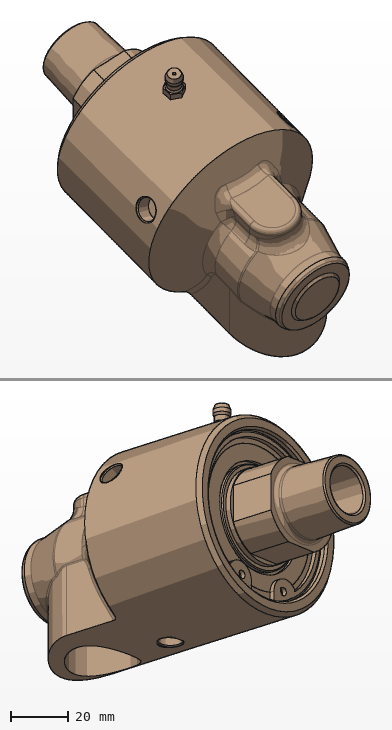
import cadquery as cq

BODY_DIAMETER = 73.0
BODY_RADIUS = BODY_DIAMETER / 2
BODY_START = 37.0
BODY_END = 90.3
BODY_CHAMFER_LENGTH = 1.7
BODY_CHAMFER_HEIGHT = 1.5
NECK_RADIUS = 19.6
NECK_START = 103.7
NECK_END = 119.4
NECK_FILLET = 5.5
TAIL_FILLET = 2.8
TAIL_RADIUS = 16.1
TAIL_START = 133.0
TAIL_ROUND_START = 136.1
TAIL_EDGE = 137.5
TAIL_EDGE_RADIUS = 15.6
TAIL_END = 138.2
TAIL_FACE_RADIUS = 15.0
PLUG_RADIUS = 10.7
PLUG_TIP_RADIUS = 9.7
OVERALL_LENGTH = 139.2

PORT_X = 113.9
LUG_RADIUS = 19.0
LUG_FILLET = 2.1
LUG_START = 83.5
LUG_BOTTOM_Z = -41.8
BOSS_START = 93.0
PORT_DIAMETER = 26.7
PORT_BOTTOM_Z = -11.1
BOSS_RADIUS = 10.2
BOSS_TOP_Z = 25.3
BOSS_EDGE_FILLET = 2.1
BOSS_BASE_FILLET = 6.0

RADIAL_HOLE_X = 82.4
RADIAL_HOLE_DIAMETER = 8.6
RADIAL_HOLE_CHAMFER = 0.4
RADIAL_HOLE_DEPTH = 6.1
RADIAL_HOLE_ANGLES = (30, 150, 270)

MOUTH_DIAMETER = 62.1
MOUTH_CHAMFER = 0.8
RING_DEPTH = 2.5
RING_THICKNESS = 1.8
GROOVE_DIAMETER = 67.0
RING_OUTER_RADIUS = 30.5
RING_INNER_RADIUS = 28.8
EAR_RADIUS = 6.1
EAR_Y = 12.1
EAR_Z = -26.2
EAR_HOLE_DIAMETER = 3.0
EAR_HOLE_Y = 11.0
EAR_HOLE_Z = -24.9
SEAT_DIAMETER = 53.7
SEAT_DEPTH = 0.1
GAP_DIAMETER = 41.2
GAP_DEPTH = 1.4

FITTING_X = 58.5
FITTING_HEX_DIAMETER = 8.1
FITTING_HEX_TURN = 3
FITTING_HEX_TOP = 39.3
FITTING_FLARE_RADIUS = 3.2
FITTING_FLARE_TOP = 40.1
FITTING_NECK_RADIUS = 5.4 / 2
FITTING_NECK_TOP = 42.2
FITTING_HEAD_RADIUS = 3.2
FITTING_HEAD_LOW = 43.1
FITTING_HEAD_HIGH = 44.7
FITTING_TOP_RADIUS = 2.5
FITTING_TOP = 46.5
FITTING_HOLE_DIAMETER = 1.1
FITTING_HOLE_DEPTH = 1.4

ROTOR_BORE_DIAMETER = 17.5
ROTOR_BORE_CHAMFER = 0.7
TIP_RADIUS = 12.7
TIP_CHAMFER = 0.5
TAPER_END = 19.2
TAPER_END_RADIUS = 26.7 / 2
SHANK_START = 21.7
SHANK_FILLET = 1.4
SHANK_RADIUS = 34.8 / 2
FLAT_WIDTH = 32.0
FLAT_END = 39.1
STEP_RADIUS = 17.7
COLLAR_START = 41.2
COLLAR_RADIUS = 19.5
COLLAR_CHAMFER = 0.4
ROTOR_END = BODY_END

TOLERANCE = 0.01

RING_START = BODY_START + RING_DEPTH
RING_END = RING_START + RING_THICKNESS
SEAT_FLOOR = RING_END + SEAT_DEPTH
GAP_FLOOR = SEAT_FLOOR + GAP_DEPTH


def disc(radius, start, end):
    """A cylinder on the main axis between two X positions."""
    return cq.Workplane("YZ").workplane(offset=start).circle(radius).extrude(end - start)


def turned(points):
    """A solid of revolution about X from (x, radius) points, closed along the axis."""
    first_x = points[0][0]
    last_x = points[-1][0]
    outline = [(first_x, 0), *points, (last_x, 0)]
    return cq.Workplane("XY").polyline(outline).close().revolve(360, (0, 0, 0), (1, 0, 0))


def ring_edges_at(shape, x, radius):
    """The circular edge of a turned shape at one X position and radius."""
    def matches(edge):
        box = edge.BoundingBox()
        at_x = abs(box.xmin - x) < TOLERANCE and abs(box.xmax - x) < TOLERANCE
        return at_x and abs(box.zmax - radius) < TOLERANCE
    return shape.newObject([edge for edge in shape.edges().vals() if matches(edge)])


def joint_edges(joined, first, second, start_x):
    """The edges of a union where the skins of its two parts meet, beyond start_x."""
    def matches(edge):
        middle = cq.Vertex.makeVertex(*edge.positionAt(0.5).toTuple())
        skins = (first.val().Shells()[0], second.val().Shells()[0])
        meets = all(middle.distance(skin) < TOLERANCE for skin in skins)
        return meets and edge.BoundingBox().xmin > start_x + TOLERANCE
    return joined.newObject([edge for edge in joined.edges().vals() if matches(edge)])


def make_shell():
    shell = turned([
        (BODY_START, BODY_RADIUS - BODY_CHAMFER_HEIGHT),
        (BODY_START + BODY_CHAMFER_LENGTH, BODY_RADIUS),
        (BODY_END, BODY_RADIUS),
        (NECK_START, NECK_RADIUS),
        (NECK_END, NECK_RADIUS),
        (TAIL_START, TAIL_RADIUS),
        (TAIL_ROUND_START, TAIL_RADIUS),
        (TAIL_EDGE, TAIL_EDGE_RADIUS),
        (TAIL_END, TAIL_FACE_RADIUS),
        (TAIL_END, PLUG_RADIUS),
        (OVERALL_LENGTH, PLUG_TIP_RADIUS),
    ])
    shell = ring_edges_at(shell, NECK_START, NECK_RADIUS).fillet(NECK_FILLET)
    return ring_edges_at(shell, NECK_END, NECK_RADIUS).fillet(TAIL_FILLET)


def rounded_tab(radius, start_x, bottom_z, top_z):
    """A vertical tab reaching back to start_x, with a half-round end about the port axis."""
    return (
        cq.Workplane("XY").workplane(offset=bottom_z)
        .moveTo(start_x, -radius)
        .lineTo(PORT_X, -radius)
        .threePointArc((PORT_X + radius, 0), (PORT_X, radius))
        .lineTo(start_x, radius)
        .close().extrude(top_z - bottom_z)
    )


def add_boss(shell):
    boss = rounded_tab(BOSS_RADIUS, BOSS_START, 0, BOSS_TOP_Z)
    boss = boss.faces(">Z").edges("not <X").fillet(BOSS_EDGE_FILLET)
    joined = shell.union(boss)
    return joint_edges(joined, shell, boss, BOSS_START).fillet(BOSS_BASE_FILLET)


def add_lug(shell):
    """Adds the lug over-long, rounds its joint, then trims it to the body cylinder."""
    lug = rounded_tab(LUG_RADIUS, LUG_START, LUG_BOTTOM_Z, 0)
    joined = shell.union(lug)
    rounded = joint_edges(joined, shell, lug, LUG_START).fillet(LUG_FILLET)
    return rounded.intersect(disc(BODY_RADIUS, BODY_START, OVERALL_LENGTH))


def port_hole():
    return (
        cq.Workplane("XY").workplane(offset=LUG_BOTTOM_Z)
        .center(PORT_X, 0).circle(PORT_DIAMETER / 2).extrude(PORT_BOTTOM_Z - LUG_BOTTOM_Z)
    )


def radial_hole(angle):
    """A blind hole with a chamfered mouth, at an angle from +Y towards +Z."""
    radius = RADIAL_HOLE_DIAMETER / 2
    mouth = radius + RADIAL_HOLE_CHAMFER
    overshoot = 2.8
    outline = [
        (0, BODY_RADIUS - RADIAL_HOLE_DEPTH),
        (radius, BODY_RADIUS - RADIAL_HOLE_DEPTH),
        (radius, BODY_RADIUS - 2 * RADIAL_HOLE_CHAMFER),
        (mouth, BODY_RADIUS - RADIAL_HOLE_CHAMFER),
        (mouth, BODY_RADIUS + overshoot),
        (0, BODY_RADIUS + overshoot),
    ]
    hole = cq.Workplane("XY").polyline(outline).close().revolve(360, (0, 0, 0), (0, 1, 0))
    return hole.translate((RADIAL_HOLE_X, 0, 0)).rotate((0, 0, 0), (1, 0, 0), angle)


def face_recess():
    """The stepped recess of the open face, with a ring groove, down to the gap around the rotor."""
    mouth_radius = MOUTH_DIAMETER / 2
    return turned([
        (BODY_START, mouth_radius + MOUTH_CHAMFER),
        (BODY_START + MOUTH_CHAMFER, mouth_radius),
        (RING_START, mouth_radius),
        (RING_START, GROOVE_DIAMETER / 2),
        (RING_END, GROOVE_DIAMETER / 2),
        (RING_END, SEAT_DIAMETER / 2),
        (SEAT_FLOOR, SEAT_DIAMETER / 2),
        (SEAT_FLOOR, GAP_DIAMETER / 2),
        (GAP_FLOOR, GAP_DIAMETER / 2),
    ])


def ring_ear(side):
    """One ear of the retaining ring, with a straight edge facing the ring opening."""
    plane = cq.Workplane("YZ").workplane(offset=RING_START)
    ear = plane.center(side * EAR_Y, EAR_Z).circle(EAR_RADIUS).extrude(RING_THICKNESS)
    leg = (
        plane.center(side * EAR_Y, EAR_Z - EAR_RADIUS)
        .rect(2 * EAR_RADIUS, 2 * EAR_RADIUS).extrude(RING_THICKNESS)
    )
    return ear.union(leg)


def retaining_ring():
    opening = (
        cq.Workplane("YZ").workplane(offset=RING_START).center(0, -RING_OUTER_RADIUS)
        .rect(2 * EAR_Y, 2 * (RING_OUTER_RADIUS + EAR_Z)).extrude(RING_THICKNESS)
    )
    ring = disc(RING_OUTER_RADIUS, RING_START, RING_END)
    ears = ring_ear(-1).union(ring_ear(1)).intersect(ring)
    ring = ring.cut(disc(RING_INNER_RADIUS, RING_START, RING_END)).cut(opening).union(ears)
    holes = (
        cq.Workplane("YZ").workplane(offset=RING_START)
        .pushPoints([(-EAR_HOLE_Y, EAR_HOLE_Z), (EAR_HOLE_Y, EAR_HOLE_Z)])
        .circle(EAR_HOLE_DIAMETER / 2).extrude(RING_THICKNESS)
    )
    return ring.cut(holes)


def grease_fitting():
    root_z = BODY_RADIUS - 1.4
    hexagon = (
        cq.Workplane("XY").workplane(offset=root_z)
        .polygon(6, FITTING_HEX_DIAMETER).extrude(FITTING_HEX_TOP - root_z)
        .rotate((0, 0, 0), (0, 0, 1), FITTING_HEX_TURN)
    )
    stem = (
        cq.Workplane("XZ")
        .moveTo(0, root_z)
        .lineTo(FITTING_FLARE_RADIUS, root_z)
        .lineTo(FITTING_FLARE_RADIUS, FITTING_HEX_TOP)
        .lineTo(FITTING_NECK_RADIUS, FITTING_FLARE_TOP)
        .lineTo(FITTING_NECK_RADIUS, FITTING_NECK_TOP)
        .lineTo(FITTING_HEAD_RADIUS, FITTING_HEAD_LOW)
        .lineTo(FITTING_HEAD_RADIUS, FITTING_HEAD_HIGH)
        .lineTo(FITTING_TOP_RADIUS, FITTING_TOP)
        .lineTo(0, FITTING_TOP)
        .close().revolve(360, (0, 0, 0), (0, 1, 0))
    )
    oil_hole = (
        cq.Workplane("XY").workplane(offset=FITTING_TOP - FITTING_HOLE_DEPTH)
        .circle(FITTING_HOLE_DIAMETER / 2).extrude(FITTING_HOLE_DEPTH)
    )
    return hexagon.union(stem).cut(oil_hole).translate((FITTING_X, 0, 0))


def make_housing():
    housing = add_lug(add_boss(make_shell()))
    housing = housing.cut(port_hole())
    for angle in RADIAL_HOLE_ANGLES:
        housing = housing.cut(radial_hole(angle))
    housing = housing.cut(face_recess())
    housing = housing.cut(disc(COLLAR_RADIUS, GAP_FLOOR, ROTOR_END))
    return housing.union(retaining_ring()).union(grease_fitting())


def make_rotor():
    rotor = turned([
        (0, TIP_RADIUS - TIP_CHAMFER),
        (TIP_CHAMFER, TIP_RADIUS),
        (TAPER_END, TAPER_END_RADIUS),
        (SHANK_START, TAPER_END_RADIUS),
        (SHANK_START, SHANK_RADIUS),
        (FLAT_END, SHANK_RADIUS),
        (FLAT_END, STEP_RADIUS),
        (COLLAR_START, STEP_RADIUS),
        (COLLAR_START, COLLAR_RADIUS - COLLAR_CHAMFER),
        (COLLAR_START + COLLAR_CHAMFER, COLLAR_RADIUS),
        (ROTOR_END, COLLAR_RADIUS),
    ])
    rotor = ring_edges_at(rotor, SHANK_START, TAPER_END_RADIUS).fillet(SHANK_FILLET)
    flats = (
        cq.Workplane("YZ").workplane(offset=SHANK_START)
        .rect(FLAT_WIDTH, FLAT_WIDTH).extrude(FLAT_END - SHANK_START)
    )
    rotor = rotor.cut(disc(SHANK_RADIUS, SHANK_START, FLAT_END).cut(flats))
    bore_radius = ROTOR_BORE_DIAMETER / 2
    bore = turned([
        (0, bore_radius + ROTOR_BORE_CHAMFER),
        (ROTOR_BORE_CHAMFER, bore_radius),
        (ROTOR_END, bore_radius),
    ])
    return rotor.cut(bore)


housing = make_housing()
rotor = make_rotor()
result = cq.Compound.makeCompound([housing.val(), rotor.val()])